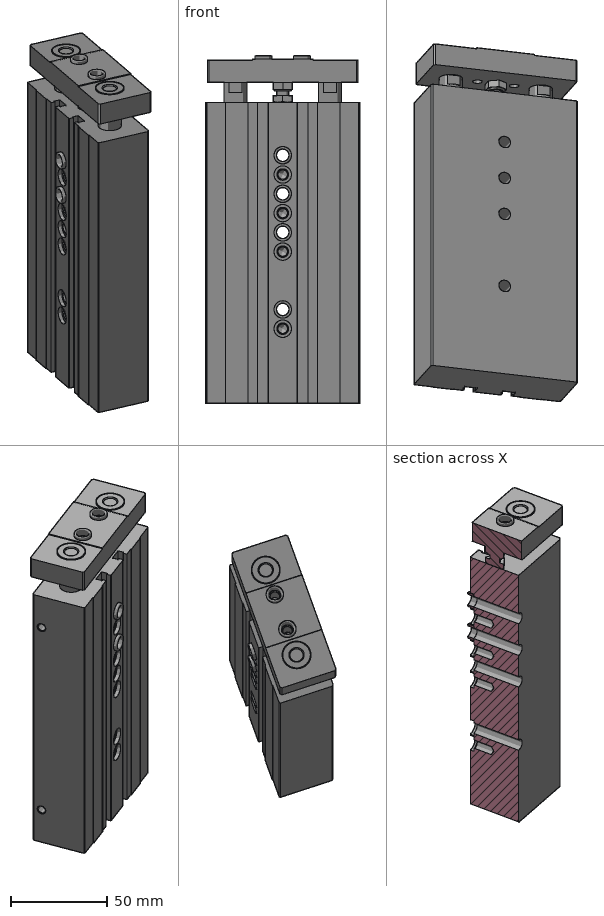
import cadquery as cq
import math

PITCH = 10.0
TOTAL_HEIGHT = 180.4
SLEEVE_PROUD = 1.8
SLEEVE_SEAT_DEPTH = 2.2
SLEEVE_DIAMETER = 9
SLEEVE_BORE = 6.3
SLEEVE_WALL = (SLEEVE_DIAMETER - SLEEVE_BORE) / 2
CORNER_CHAMFER = 0.9

HOUSING_WIDTH = 80.0
HOUSING_DEPTH = 30.1
HOUSING_HEIGHT = 156.2
HOUSING_FRONT = -HOUSING_DEPTH / 2
SLOT_INNER_X = 7.8
SLOT_OUTER_X = 13.0
SLOT_DEPTH = 5.8
SLOT_LIP = 2.5
SLOT_UNDERCUT = 0.9
SLOT_MOUTH_CHAMFER = 0.4
RELIEF_DEPTH = 0.4
RAISED_INNER_X = 18.0
RAISED_OUTER_X = 29.5
LOWEST_HOLE_Z = 38.8
THROUGH_HOLE_STEPS = (1, 5, 7, 9)
BLIND_HOLE_STEPS = (0, 4, 6, 8)
SLEEVED_HOLE_STEPS = (7, 9)
THROUGH_DIAMETER = SLEEVE_BORE
THREAD_DIAMETER = 6.0
THREAD_CORE_DIAMETER = 4.9
THREAD_DEPTH = 10.8
DRILL_POINT_ANGLE = 118

PORT_Y = 10.0
PORT_HEIGHTS = (20.5, 136.5)
PORT_MOUTH_DIAMETER = 4.9
PORT_DIAMETER = 4.1
PORT_DEPTH = 5.5

PLATE_WIDTH = 78.3
PLATE_BACK = 16.87
PLATE_FRONT = -13.9
PLATE_BOTTOM = 166.5
PAD_TOP = TOTAL_HEIGHT - SLEEVE_PROUD
PAD_RISE = 0.5
PAD_WIDTH = 31.5
PLATE_TOP = PAD_TOP - PAD_RISE

HEX_ACROSS_FLATS = 10.0
HEX_TURN = 30
HEX_ACROSS_CORNERS = HEX_ACROSS_FLATS / math.cos(math.radians(30))
LOCK_NUT_HEIGHT = 4.5
LOCK_NUT_CONE_HEIGHT = 0.9
LOCK_NUT_TIP_DIAMETER = 8.1
SCREW_HEAD_HEIGHT = 3.5
SCREW_DIAMETER = 6.3
HEAD_CHAMFER_DROP = 0.5

ROD_X = 24.5
ROD_DIAMETER = 12.0
ROD_FOOT_Z = 18
ROD_FLAT_WIDTH = 10.1
ROD_FLAT_HEIGHT = 5.2
ROD_HEAD_DIAMETER = 15.0
ROD_HEAD_HEIGHT = 5.5
ROD_HEAD_CHAMFER = 0.4
ROD_RECESS_DIAMETER = 8.0
ROD_RECESS_DEPTH = 0.5


def block(x_range, y_range, z_range):
    """Box between the given limits."""
    size = [high - low for low, high in (x_range, y_range, z_range)]
    corner = (x_range[0], y_range[0], z_range[0])
    return cq.Workplane("XY").box(*size, centered=False).translate(corner)


def cylinder(diameter, base, direction, length):
    """Round bar that starts at base and runs along direction."""
    solid = cq.Solid.makeCylinder(diameter / 2, length, cq.Vector(*base), cq.Vector(*direction))
    return cq.Workplane(solid)


def cone(diameter, tip_diameter, base, direction, length):
    """Tapered bar that starts at base with the first diameter and ends with the second."""
    start = cq.Vector(*base)
    solid = cq.Solid.makeCone(diameter / 2, tip_diameter / 2, length, start, cq.Vector(*direction))
    return cq.Workplane(solid)


def drill(diameter, base, direction, depth):
    """Cutter for a blind hole with a conical bottom."""
    start = cq.Vector(*base)
    axis = cq.Vector(*direction)
    point = diameter / 2 / math.tan(math.radians(DRILL_POINT_ANGLE / 2))
    shank = cylinder(diameter, base, direction, depth)
    return shank.union(cone(diameter, 0, (start + axis * depth).toTuple(), direction, point))


def tapped_hole(base, direction):
    """Cutter for a sleeve seat with a countersunk tapped hole behind it."""
    seat_floor = (cq.Vector(*base) + cq.Vector(*direction) * SLEEVE_SEAT_DEPTH).toTuple()
    countersink_depth = (THREAD_DIAMETER - THREAD_CORE_DIAMETER) / 2
    return (
        cylinder(SLEEVE_DIAMETER, base, direction, SLEEVE_SEAT_DEPTH)
        .union(cone(THREAD_DIAMETER, THREAD_CORE_DIAMETER, seat_floor, direction, countersink_depth))
        .union(drill(THREAD_CORE_DIAMETER, seat_floor, direction, THREAD_DEPTH))
    )


def through_hole(base):
    """Cutter for a sleeve seat and a plain hole through the whole housing."""
    seat = cylinder(SLEEVE_DIAMETER, base, (0, 1, 0), SLEEVE_SEAT_DEPTH)
    return seat.union(cylinder(THROUGH_DIAMETER, base, (0, 1, 0), HOUSING_DEPTH))


def make_sleeve(seat_mouth, direction):
    """Centring sleeve with a fully rounded rim, in a seat that opens at seat_mouth and runs along direction."""
    axis = cq.Vector(*direction)
    outward = (axis * -1).toTuple()
    foot = cq.Vector(*seat_mouth) + axis * SLEEVE_SEAT_DEPTH
    length = SLEEVE_SEAT_DEPTH + SLEEVE_PROUD - SLEEVE_WALL / 2
    tube = cylinder(SLEEVE_DIAMETER, foot.toTuple(), outward, length)
    tube = tube.cut(cylinder(SLEEVE_BORE, foot.toTuple(), outward, length))
    middle_radius = (SLEEVE_DIAMETER + SLEEVE_BORE) / 4
    rim = cq.Solid.makeTorus(middle_radius, SLEEVE_WALL / 2, foot - axis * length, cq.Vector(*outward))
    return tube.union(cq.Workplane(rim))


def front_hole_mouth(step):
    """Centre of a mounting hole on the front face."""
    return (0, HOUSING_FRONT, LOWEST_HOLE_Z + step * PITCH)


def plate_hole_mouth(side):
    """Centre of a tapped hole on the raised pad of the plate."""
    return (side * PITCH, 0, PAD_TOP)


def front_profile_cutter(side):
    """Cutter for the reliefs and the T-slot on one half of the front face."""
    relief_y = HOUSING_FRONT + RELIEF_DEPTH
    bevel_end_y = HOUSING_FRONT + SLOT_MOUTH_CHAMFER
    lip_y = HOUSING_FRONT + SLOT_LIP
    floor_y = HOUSING_FRONT + SLOT_DEPTH
    t_slot = [
        (SLOT_INNER_X - SLOT_MOUTH_CHAMFER, HOUSING_FRONT),
        (SLOT_INNER_X, bevel_end_y),
        (SLOT_INNER_X, lip_y),
        (SLOT_INNER_X - SLOT_UNDERCUT, lip_y),
        (SLOT_INNER_X - SLOT_UNDERCUT, floor_y),
        (SLOT_OUTER_X + SLOT_UNDERCUT, floor_y),
        (SLOT_OUTER_X + SLOT_UNDERCUT, lip_y),
        (SLOT_OUTER_X, lip_y),
        (SLOT_OUTER_X, relief_y),
        (RAISED_INNER_X, relief_y),
        (RAISED_INNER_X, HOUSING_FRONT),
    ]
    outline = [(side * x, y) for x, y in t_slot]
    cutter = cq.Workplane("XY").polyline(outline).close().extrude(HOUSING_HEIGHT)
    outer_relief = sorted((side * RAISED_OUTER_X, side * HOUSING_WIDTH / 2))
    return cutter.union(block(outer_relief, (HOUSING_FRONT, relief_y), (0, HOUSING_HEIGHT)))


def make_housing():
    """Extruded body with rod bores, mounting holes and air ports."""
    x_range = (-HOUSING_WIDTH / 2, HOUSING_WIDTH / 2)
    y_range = (HOUSING_FRONT, -HOUSING_FRONT)
    body = block(x_range, y_range, (0, HOUSING_HEIGHT)).edges("|Z").chamfer(CORNER_CHAMFER)

    for side in (-1, 1):
        body = body.cut(front_profile_cutter(side))
        rod_foot = (side * ROD_X, 0, ROD_FOOT_Z)
        body = body.cut(cylinder(ROD_DIAMETER, rod_foot, (0, 0, 1), HOUSING_HEIGHT - ROD_FOOT_Z))

    for step in THROUGH_HOLE_STEPS:
        body = body.cut(through_hole(front_hole_mouth(step)))
    for step in BLIND_HOLE_STEPS:
        body = body.cut(tapped_hole(front_hole_mouth(step), (0, 1, 0)))

    countersink_depth = (PORT_MOUTH_DIAMETER - PORT_DIAMETER) / 2
    for height in PORT_HEIGHTS:
        mouth = (-HOUSING_WIDTH / 2, PORT_Y, height)
        body = body.cut(cone(PORT_MOUTH_DIAMETER, PORT_DIAMETER, mouth, (1, 0, 0), countersink_depth))
        body = body.cut(drill(PORT_DIAMETER, mouth, (1, 0, 0), PORT_DEPTH))
    return body


def hexagon(bottom, height):
    """Hexagonal prism around the Z axis, with two flats facing +X and -X."""
    prism = cq.Workplane("XY").workplane(offset=bottom).polygon(6, HEX_ACROSS_CORNERS).extrude(height)
    return prism.rotate((0, 0, 0), (0, 0, 1), HEX_TURN)


def make_stop_screw():
    """Threaded shank with a chamfered head at its foot and a lock nut against the plate."""
    up = (0, 0, 1)
    foot = (0, 0, HOUSING_HEIGHT)
    shank = cylinder(SCREW_DIAMETER, foot, up, PLATE_BOTTOM - HOUSING_HEIGHT)

    chamfer_top = (0, 0, HOUSING_HEIGHT + HEAD_CHAMFER_DROP)
    head_envelope = cone(HEX_ACROSS_FLATS, HEX_ACROSS_CORNERS, foot, up, HEAD_CHAMFER_DROP).union(
        cylinder(HEX_ACROSS_CORNERS, chamfer_top, up, SCREW_HEAD_HEIGHT - HEAD_CHAMFER_DROP)
    )
    head = hexagon(HOUSING_HEIGHT, SCREW_HEAD_HEIGHT).intersect(head_envelope)

    nut_bottom = PLATE_BOTTOM - LOCK_NUT_HEIGHT
    nut = hexagon(nut_bottom + LOCK_NUT_CONE_HEIGHT, LOCK_NUT_HEIGHT - LOCK_NUT_CONE_HEIGHT)
    nut_cone = cone(LOCK_NUT_TIP_DIAMETER, HEX_ACROSS_FLATS, (0, 0, nut_bottom), up, LOCK_NUT_CONE_HEIGHT)
    return shank.union(head).union(nut).union(nut_cone)


def make_plate():
    """Yoke plate together with the stop screw and lock nut under its middle."""
    x_range = (-PLATE_WIDTH / 2, PLATE_WIDTH / 2)
    y_range = (PLATE_FRONT, PLATE_BACK)
    body = block(x_range, y_range, (PLATE_BOTTOM, PLATE_TOP)).edges("|Z").chamfer(CORNER_CHAMFER)
    body = body.union(block((-PAD_WIDTH / 2, PAD_WIDTH / 2), y_range, (PLATE_TOP, PAD_TOP)))

    body = body.union(make_stop_screw())
    for side in (-1, 1):
        body = body.cut(tapped_hole(plate_hole_mouth(side), (0, 0, -1)))
        body = body.cut(rod_blank(side))
    return body


def rod_blank(side):
    """Round rod and its wider head, without flats or recess."""
    shaft = cylinder(ROD_DIAMETER, (side * ROD_X, 0, ROD_FOOT_Z), (0, 0, 1), PLATE_TOP - ROD_FOOT_Z)
    head = cylinder(ROD_HEAD_DIAMETER, (side * ROD_X, 0, PLATE_TOP), (0, 0, -1), ROD_HEAD_HEIGHT)
    return shaft.union(head)


def make_rod(side):
    """Guide rod with two spanner flats and a shallow recess in its head."""
    rod = rod_blank(side)
    rod = rod.faces(">Z").edges().chamfer(ROD_HEAD_CHAMFER)
    head_top = (side * ROD_X, 0, PLATE_TOP)
    recess_floor_diameter = ROD_RECESS_DIAMETER - 2 * ROD_RECESS_DEPTH
    rod = rod.cut(
        cone(ROD_RECESS_DIAMETER, recess_floor_diameter, head_top, (0, 0, -1), ROD_RECESS_DEPTH)
    )
    x_range = (side * ROD_X - ROD_DIAMETER / 2, side * ROD_X + ROD_DIAMETER / 2)
    z_range = (PLATE_BOTTOM - ROD_FLAT_HEIGHT, PLATE_BOTTOM)
    for face in (-1, 1):
        y_range = sorted((face * ROD_FLAT_WIDTH / 2, face * ROD_DIAMETER / 2))
        rod = rod.cut(block(x_range, y_range, z_range))
    return rod


housing = make_housing()
plate = make_plate()
rods = [make_rod(side) for side in (-1, 1)]
housing_sleeves = [make_sleeve(front_hole_mouth(step), (0, 1, 0)) for step in SLEEVED_HOLE_STEPS]
plate_sleeves = [make_sleeve(plate_hole_mouth(side), (0, 0, -1)) for side in (-1, 1)]

small_parts = rods + housing_sleeves + plate_sleeves
result = cq.Compound.makeCompound([housing.val(), plate.val(), *[body.val() for body in small_parts]])